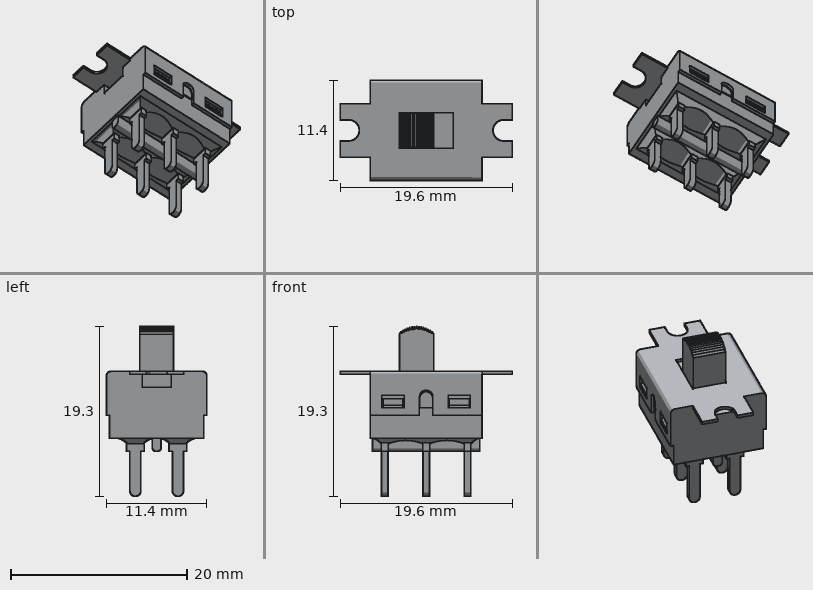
import cadquery as cq
import math


cover_length = 12.7
cover_width = 11.43
sheet = 0.36
cover_bottom = -5.03
bend_radius = 0.56
body_width = cover_width - 2 * sheet
body_bottom = -7.62
body_edge_radius = bend_radius - sheet

ear_span = 19.56
ear_width = 6.1
ear_slot_width = 2.36
ear_slot_depth = 2.18

relief_width = 3.3
relief_depth = 1.0
relief_height = 1.46

window_length = 6.1
window_width = 4.04
knob_length = 3.92
knob_width = 3.86
knob_center_x = (knob_length - window_length) / 2
knob_top = 5.08
knob_shoulder = 4.19
tooth_tip_radius = 2.9
tooth_pitch = 0.255
teeth_per_side = 7
tooth_depth = 0.3
tooth_root_radius = 3.2
tooth_root_top = knob_top - tooth_depth
tooth_root_offset = 0.7

latch_center_x = 3.75
latch_hole_length = 2.54
latch_hole_top = -2.72
latch_hole_bottom = -4.17
wedge_length = 2.23
wedge_top = -3.15
wedge_crest = -3.87
wedge_reach = 0.25

wall_slot_width = 1.52
wall_slot_top = -2.17
arch_width = 1.46
arch_top = -2.33
arch_bottom = latch_hole_bottom
arch_reach = 0.09

terminal_pitch = 4.7
row_y = 2.42
terminal_thickness = 0.76
blade_width = 1.28
shoulder_width = 2.04
shoulder_bottom = -9.1
terminal_bottom = -14.22
terminal_columns = (-terminal_pitch, 0, terminal_pitch)

rib_length = 12.2
rib_width = 1.04
rib_edge_radius = 0.42

resin_end_x = 5.96
resin_collar_half_length = 0.41
resin_depth = 0.61
resin_saddle_depth = 0.25
resin_half_width = 1.95
resin_collar_half_width = 0.9
resin_curve_depth = 0.22


def block(length, width, bottom, top, x=0, y=0):
    """Box centred on (x, y) that reaches from bottom to top."""
    base = cq.Workplane("XY", origin=(x, y, bottom))
    return base.box(length, width, top - bottom, centered=(True, True, False))


def wall_prism(profile, y_near, y_far):
    """Extrude the outline drawn by profile on an XZ plane from y_near to y_far (y_far > y_near)."""
    return profile(cq.Workplane("XZ", origin=(0, y_far, 0))).extrude(y_far - y_near)


def make_body():
    body = block(cover_length, body_width, body_bottom, -sheet)
    body = body.edges("|X and >Z").fillet(body_edge_radius)
    for side in (-1, 1):
        relief_x = side * (cover_length - relief_depth) / 2
        relief = block(relief_depth, relief_width, -sheet - relief_height, -sheet, relief_x)
        body = body.cut(relief)
    return body


def arch_outline(width, top, bottom):
    """Round-topped upright outline centred on X = 0."""
    radius = width / 2

    def draw(plane):
        return (
            plane.moveTo(-radius, bottom)
            .lineTo(-radius, top - radius)
            .threePointArc((0, top), (radius, top - radius))
            .lineTo(radius, bottom)
            .close()
        )

    return draw


def make_cover():
    cover = block(cover_length, cover_width, cover_bottom, 0)
    cover = cover.edges("|X and >Z").fillet(bend_radius)
    cavity = block(cover_length, body_width, cover_bottom, -sheet)
    cavity = cavity.edges("|X and >Z").fillet(body_edge_radius)
    cover = cover.cut(cavity)

    cover = cover.union(block(ear_span, ear_width, -sheet, 0))
    slot_length = 2 * ear_slot_depth
    ear_slots = (
        cq.Workplane("XY")
        .pushPoints([(-ear_span / 2, 0), (ear_span / 2, 0)])
        .slot2D(slot_length, ear_slot_width)
        .extrude(-sheet)
    )
    cover = cover.cut(ear_slots).cut(block(window_length, window_width, -sheet, 0))

    slot = arch_outline(wall_slot_width, wall_slot_top, cover_bottom)
    cover = cover.cut(wall_prism(slot, -cover_width / 2, cover_width / 2))
    for x in (-latch_center_x, latch_center_x):
        hole = block(latch_hole_length, cover_width, latch_hole_bottom, latch_hole_top, x)
        cover = cover.cut(hole)
    return cover


def make_latch_wedges():
    """Sloped catches on both long faces, one pair per latch hole."""
    face_y = body_width / 2
    crest_y = face_y + wedge_reach
    outline = [
        (-face_y, wedge_top),
        (-crest_y, wedge_crest),
        (-crest_y, latch_hole_bottom),
        (crest_y, latch_hole_bottom),
        (crest_y, wedge_crest),
        (face_y, wedge_top),
    ]
    wedge = cq.Workplane("YZ").polyline(outline).close().extrude(wedge_length / 2, both=True)
    return wedge.translate((-latch_center_x, 0, 0)).union(wedge.translate((latch_center_x, 0, 0)))


def make_arches():
    reach_y = body_width / 2 + arch_reach
    return wall_prism(arch_outline(arch_width, arch_top, arch_bottom), -reach_y, reach_y)


def arc_height(x, top, radius):
    """Height at x of an arc whose crown is at x = 0."""
    return top - radius + math.sqrt(radius**2 - x**2)


def make_knob():
    half = knob_length / 2
    right_teeth = []
    for i in range(teeth_per_side):
        root_x = (i + tooth_root_offset) * tooth_pitch
        tip_x = (i + 1) * tooth_pitch
        right_teeth.append((root_x, arc_height(root_x, tooth_root_top, tooth_root_radius)))
        right_teeth.append((tip_x, arc_height(tip_x, knob_top, tooth_tip_radius)))
    left_teeth = [(-x, z) for x, z in reversed(right_teeth)]
    outline = [(-half, -sheet), (-half, knob_shoulder)]
    outline += left_teeth + [(0, knob_top)] + right_teeth
    outline += [(half, knob_shoulder), (half, -sheet)]
    knob = cq.Workplane("XZ").polyline(outline).close().extrude(knob_width / 2, both=True)
    return knob.translate((knob_center_x, 0, 0))


def make_terminal(x, y):
    blade_tip_radius = blade_width / 2
    tip_center = terminal_bottom + blade_tip_radius
    blade = (
        cq.Workplane("YZ")
        .moveTo(-blade_tip_radius, body_bottom)
        .lineTo(-blade_tip_radius, tip_center)
        .threePointArc((0, terminal_bottom), (blade_tip_radius, tip_center))
        .lineTo(blade_tip_radius, body_bottom)
        .close()
        .extrude(terminal_thickness / 2, both=True)
        .translate((x, y, 0))
    )
    return blade.union(block(terminal_thickness, shoulder_width, shoulder_bottom, body_bottom, x, y))


def make_rib():
    rib = block(rib_length, rib_width, shoulder_bottom, body_bottom)
    return rib.edges("|X and <Z").fillet(rib_edge_radius)


def make_resin(y):
    """Resin bead of one terminal row: lengthwise scallops limited by a flared cross-section."""
    collar_z = body_bottom - resin_depth
    saddle_z = body_bottom - resin_saddle_depth
    curve_z = body_bottom - resin_curve_depth
    end_collar_x = terminal_pitch + resin_collar_half_length
    end_curve_x = (resin_end_x + end_collar_x) / 2

    lengthwise = cq.Workplane("XZ").moveTo(-resin_end_x, body_bottom)
    lengthwise = lengthwise.threePointArc((-end_curve_x, curve_z), (-end_collar_x, collar_z))
    for x in terminal_columns[:-1]:
        saddle_start = x + resin_collar_half_length
        saddle_end = x + terminal_pitch - resin_collar_half_length
        lengthwise = lengthwise.lineTo(saddle_start, collar_z)
        lengthwise = lengthwise.threePointArc((x + terminal_pitch / 2, saddle_z), (saddle_end, collar_z))
    lengthwise = (
        lengthwise.lineTo(end_collar_x, collar_z)
        .threePointArc((end_curve_x, curve_z), (resin_end_x, body_bottom))
        .close()
        .extrude(resin_half_width, both=True)
    )

    flank_y = (resin_half_width + resin_collar_half_width) / 2
    crosswise = (
        cq.Workplane("YZ")
        .moveTo(-resin_half_width, body_bottom)
        .threePointArc((-flank_y, curve_z), (-resin_collar_half_width, collar_z))
        .lineTo(resin_collar_half_width, collar_z)
        .threePointArc((flank_y, curve_z), (resin_half_width, body_bottom))
        .close()
        .extrude(resin_end_x, both=True)
    )
    return lengthwise.intersect(crosswise).translate((0, y, 0))


result = make_body().union(make_latch_wedges()).union(make_arches()).union(make_rib())
for row in (-row_y, row_y):
    result = result.union(make_resin(row))
    for column in terminal_columns:
        result = result.union(make_terminal(column, row))

result = result.union(make_cover(), clean=False).union(make_knob(), clean=False)